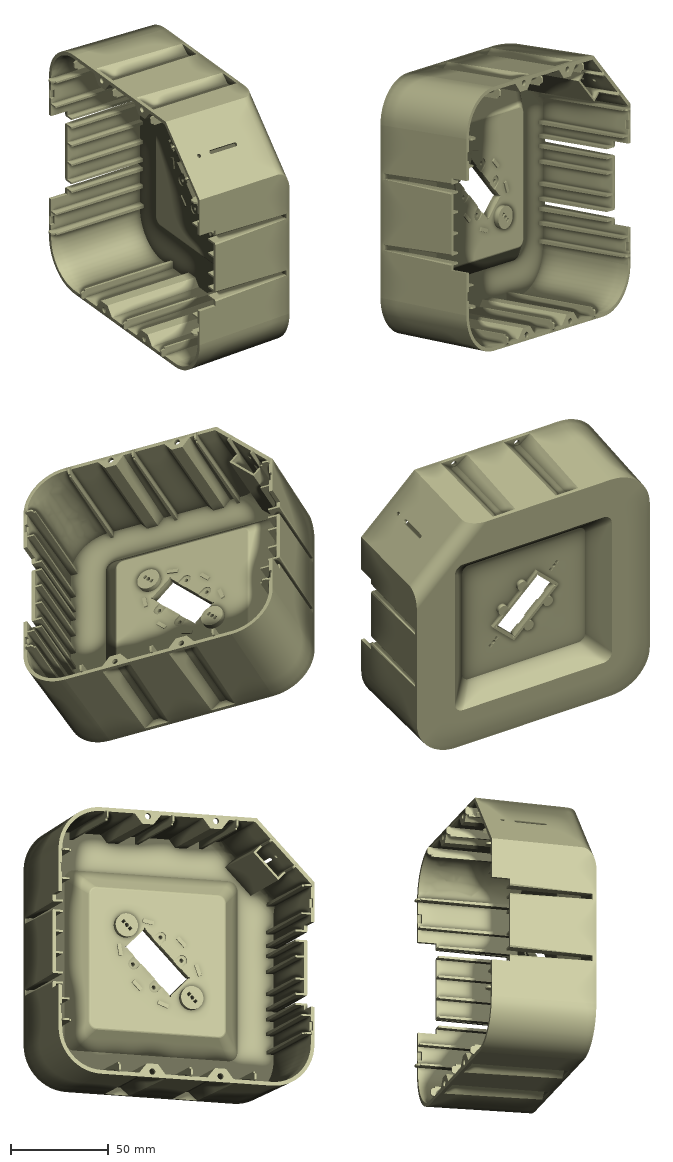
import cadquery as cq
import math

SIZE = 138.82
HALF = SIZE / 2
DEPTH = 55.86
WALL = 2.0
DRAFT = 1.0
CORNER_RADIUS = 23.0
CHAMFER_LEG = 31.3
CHAMFER_BACK_RADIUS = 7.6
FLOOR_Y = DEPTH - WALL
ROOT = 1.5
CORNER_CUT = HALF - CHAMFER_LEG / 2
DIAGONAL = math.sqrt(0.5)
QUARTER = 90
EIGHTH = QUARTER / 2
OVERLAP = WALL / 2
CLEARANCE = 1.0

PLATEAU_BASE = 93.8
PLATEAU_HEIGHT = 10.0
PLATEAU_TOP = PLATEAU_BASE - 2 * PLATEAU_HEIGHT
PLATEAU_BASE_RADIUS = 5.0
PLATEAU_TOP_RADIUS = 4.0
PLATEAU_Y = FLOOR_Y - PLATEAU_HEIGHT
PLATEAU_TOP_ROUNDING = 1.2
RECESS_INSET = WALL * (math.sqrt(2) - 1)

TOP_GROOVE_X = (-20.9, 16.05)
BOTTOM_GROOVE_X = (-18.5, 18.45)
GROOVE_DEPTH = 5.0
GROOVE_MOUTH = 15.5
GROOVE_FLOOR = 3.5
GROOVE_END_WALL = 2.0
RIDGE_DEPTH = 7.1
RIDGE_MOUTH = 17.4
RIDGE_FLOOR = 6.0
RIM_HOLE_DIAMETER = 3.2
RIM_HOLE_DEPTH = 3.0

RIB_TIP = 0.9
RIB_FOOT = 1.8
LEFT_RIB_REACH = 5.9
RIGHT_RIB_REACH = 6.9
TAB_RIB_REACH = 6.8
TAB_LENGTH = 2.0
TAB_START = 1.7
TAB_WIDTH = 4.1
TAB_CHAMFER = 0.8
TAB_THICKNESS = 1.0
TOP_RIB_X = (-43.4, -7.8, 27.0)
BOTTOM_RIB_X = (-36.8, 2.2, 36.8)
LEFT_TAB_RIB_Z = (46.0, -42.6)
LEFT_RIB_Z = (31.2, 5.6, -5.6, -31.4)
RIGHT_TAB_RIB_Z = (36.0, -41.0)
RIGHT_RIB_Z = (21.6, 1.0, -10.6, -31.4)
CORNER_RIB_SPACING = 18.0
CORNER_RIB_REACH = 9.4
CORNER_STEP_Y = 11.3
CORNER_PLATE = 1.1
CORNER_TAB_LENGTH = 1.4
CORNER_TAB_WIDTH = 2.2

SLOT_BACK_WIDTH = 2.9
SLOT_RIM_WIDTH = 4.4
SLOT_FLARE = 1.8
SLOT_FLARE_DEPTH = 1.0
SLOT_RIB_OFFSET = SLOT_RIM_WIDTH / 2 + RIB_TIP / 2
LEFT_SLOT_Z = (18.7, -18.7)
RIGHT_SLOT_Z = (11.8, -21.2)
CUTOUT_MARGIN = 5.6
CUTOUT_DEPTH = 9.8
CATCH_WIDTH = 4.8
CATCH_DEPTH = 2.0
CATCH_START = 0.7
LEFT_CATCH_Z = (36.8, -36.8)
RIGHT_CATCH_Z = (27.2, -36.8)

CORNER_SLOT_LENGTH = 17.0
CORNER_SLOT_Y = 25.1
CORNER_HOLE_DIAMETER = 2.17
CORNER_HOLE_Y = 10.2

WINDOW_LENGTH = 34.0
WINDOW_WIDTH = 14.4
WINDOW_RELIEF = 0.9
STUD_ALONG = 8.0
STUD_ACROSS = 10.6
PAD_DIAMETER = 5.6
PAD_DEPTH = 0.7
SCREW_HOLE_DIAMETER = 2.17
SCREW_HOLE_TIP = 1.1
SCREW_HOLE_DEPTH = 2.4
FRAME_HEIGHT = 2.3
FRAME_WIDTH = 1.5
ROUND_BOSS_DIAMETER = 12.1
ROUND_BOSS_HEIGHT = 3.0
ROUND_BOSS_DISTANCE = 25.1
BOSS_HOLE_DIAMETER = 2.17
BOSS_SLOT_OFFSET = 2.5
BOSS_SLOT_LENGTH = 1.6
BOSS_SLOT_WIDTH = 2.0
BLOCK_LENGTH = 6.0
BLOCK_WIDTH = 2.0
BLOCK_HEIGHT = 0.8
BLOCKS = ((-5.2, 20.6, -10), (12.8, 11.3, -45), (21.8, -2.8, -70))


def section(y):
    """Sketch plane across the housing at depth y (local x = X, local y = Z)."""
    return cq.Workplane("XZ", origin=(0, y, 0))


def slab(x0, x1, y0, y1, z0, z1):
    return cq.Workplane("XY").box(x1 - x0, y1 - y0, z1 - z0, centered=False).translate((x0, y0, z0))


def outline(y, inset, radius):
    """Rounded square with one corner cut off, moved in by `inset` from the outer rim."""
    h = HALF - inset
    cut = h - CHAMFER_LEG + inset * (2 - math.sqrt(2))
    bow = radius * (1 - DIAGONAL)
    return (
        section(y)
        .moveTo(-h + radius, h)
        .lineTo(cut, h)
        .lineTo(h, cut)
        .lineTo(h, -h + radius)
        .threePointArc((h - bow, -h + bow), (h - radius, -h))
        .lineTo(-h + radius, -h)
        .threePointArc((-h + bow, -h + bow), (-h, -h + radius))
        .lineTo(-h, h - radius)
        .threePointArc((-h + bow, h - bow), (-h + radius, h))
        .close()
        .val()
    )


def drafted_body(inset, back_y):
    """Tapered block with the edge between corner cut and back rounded."""
    radius = CORNER_RADIUS - inset
    back_inset = inset + DRAFT * back_y / DEPTH
    wires = [outline(0, inset, radius), outline(back_y, back_inset, radius)]
    body = cq.Workplane(cq.Solid.makeLoft(wires, True))
    edge = cq.selectors.NearestToPointSelector((CORNER_CUT, back_y, CORNER_CUT))
    return body.edges(edge).fillet(CHAMFER_BACK_RADIUS - inset)


def square_frustum(base_y, base, top_y, top):
    """Rounded square that narrows from base_y to top_y."""
    return (
        section(base_y)
        .placeSketch(
            cq.Sketch().rect(base, base).vertices().fillet(PLATEAU_BASE_RADIUS),
            cq.Sketch().rect(top, top).vertices().fillet(PLATEAU_TOP_RADIUS)
            .moved(cq.Location(cq.Vector(0, 0, base_y - top_y))),
        )
        .loft(ruled=True)
    )


def trapezoid(x, mouth, depth, floor, start, y0, y1):
    """Prism along Y cut into the top wall: `mouth` wide at the rim line, `floor` wide at `depth`."""
    slope = (mouth - floor) / 2 / depth
    half_start = mouth / 2 - slope * start
    return (
        section(y0)
        .polyline([
            (x - half_start, HALF - start),
            (x + half_start, HALF - start),
            (x + floor / 2, HALF - depth),
            (x - floor / 2, HALF - depth),
        ])
        .close()
        .extrude(y0 - y1)
    )


def on_wall(shape, side):
    """Turn a shape made at the top wall round to the named wall."""
    turns = {"top": 0, "right": QUARTER, "bottom": 2 * QUARTER, "left": 3 * QUARTER}
    return shape.rotate((0, 0, 0), (0, 1, 0), turns[side])


def along(side, value):
    """Position along the top wall that lands on X or Z `value` at the named wall."""
    return value if side in ("top", "left") else -value


def tapered_slab(x, y0, width0, y1, width1, z0, z1):
    """Block centred on x whose width along X changes from width0 at y0 to width1 at y1."""
    return (
        cq.Workplane("XY", origin=(x, 0, z0))
        .polyline([(-width0 / 2, y0), (width0 / 2, y0), (width1 / 2, y1), (-width1 / 2, y1)])
        .close()
        .extrude(z1 - z0)
    )


def rib(x, reach):
    return tapered_slab(x, 0, RIB_TIP, FLOOR_Y + OVERLAP, RIB_FOOT, HALF - reach, HALF - ROOT)


def tab(x, start, width, length):
    half = TAB_THICKNESS / 2
    top = HALF - start
    box = slab(x - half, x + half, -length, WALL, top - width, top)
    return box.faces("<Y").edges("|X").chamfer(min(TAB_CHAMFER, width / 4))


def corner_frame(shape):
    """Move a shape from the middle of the top wall to the middle of the corner cut."""
    distance = CORNER_CUT * math.sqrt(2)
    return shape.translate((0, 0, distance - HALF)).rotate((0, 0, 0), (0, 1, 0), EIGHTH)


def add_grooves(body, side, positions):
    for value in positions:
        x = along(side, value)
        ridge = trapezoid(x, RIDGE_MOUTH, RIDGE_DEPTH, RIDGE_FLOOR, ROOT, 0, FLOOR_Y + OVERLAP)
        groove = trapezoid(
            x, GROOVE_MOUTH, GROOVE_DEPTH, GROOVE_FLOOR, -CLEARANCE,
            GROOVE_END_WALL, DEPTH - GROOVE_END_WALL,
        )
        hole = section(0).center(x, HALF - RIM_HOLE_DEPTH).circle(RIM_HOLE_DIAMETER / 2)
        hole = hole.extrude(-2 * GROOVE_END_WALL)
        body = body.union(on_wall(ridge, side)).cut(on_wall(groove, side)).cut(on_wall(hole, side))
    return body


def add_ribs(body, outer, side, with_tabs, plain=(), plain_reach=0):
    """Ribs on one wall, kept inside the outer shape; those in `with_tabs` carry a tab past the rim."""
    for value in plain:
        body = body.union(on_wall(rib(along(side, value), plain_reach), side).intersect(outer))
    for value in with_tabs:
        x = along(side, value)
        body = body.union(on_wall(rib(x, TAB_RIB_REACH), side).intersect(outer))
        body = body.union(on_wall(tab(x, TAB_START, TAB_WIDTH, TAB_LENGTH), side))
    return body


def cut_side_wall(body, side, slots, catches):
    """Long slots with flared mouths, the rim cut-out spanning them and the catch pockets."""
    for value in slots:
        x = along(side, value)
        slot = tapered_slab(
            x, 0, SLOT_RIM_WIDTH, FLOOR_Y, SLOT_BACK_WIDTH, HALF - RIGHT_RIB_REACH, HALF + CLEARANCE
        )
        flare = trapezoid(
            x, SLOT_BACK_WIDTH + 2 * SLOT_FLARE, SLOT_FLARE_DEPTH, SLOT_BACK_WIDTH, -CLEARANCE, 0, FLOOR_Y
        )
        body = body.cut(on_wall(slot, side)).cut(on_wall(flare, side))
    ends = sorted(along(side, value) for value in slots)
    cutout = slab(
        ends[0] - CUTOUT_MARGIN, ends[1] + CUTOUT_MARGIN, -CLEARANCE, CUTOUT_DEPTH,
        HALF - 2 * RIGHT_RIB_REACH, HALF + CLEARANCE
    )
    body = body.cut(on_wall(cutout, side))
    for value in catches:
        x = along(side, value)
        half = CATCH_WIDTH / 2
        pocket = slab(
            x - half, x + half, -CLEARANCE, CATCH_DEPTH, HALF - WALL - CLEARANCE, HALF - CATCH_START
        )
        body = body.cut(on_wall(pocket, side))
    return body


def finish_corner(body, outer):
    """Stepped ribs joined by a plate behind the corner cut, and the slot and hole through it."""
    behind_step = slab(-HALF, HALF, CORNER_STEP_Y, DEPTH, 0, HALF)
    for x in (-CORNER_RIB_SPACING / 2, CORNER_RIB_SPACING / 2):
        low = rib(x, TAB_START + CORNER_TAB_WIDTH)
        high = rib(x, CORNER_RIB_REACH).intersect(behind_step)
        inside = corner_frame(low.union(high)).intersect(outer)
        peg = corner_frame(tab(x, TAB_START, CORNER_TAB_WIDTH, CORNER_TAB_LENGTH))
        body = body.union(inside).union(peg)
    half = CORNER_RIB_SPACING / 2
    plate_z = HALF - CORNER_RIB_REACH
    plate = slab(-half, half, CORNER_STEP_Y, FLOOR_Y + OVERLAP, plate_z, plate_z + CORNER_PLATE)
    body = body.union(corner_frame(plate))
    wall = cq.Workplane("XY", origin=(0, 0, HALF - 2 * WALL))
    slot = wall.center(0, CORNER_SLOT_Y).slot2D(CORNER_SLOT_LENGTH, CORNER_HOLE_DIAMETER, QUARTER)
    slot = slot.extrude(3 * WALL)
    hole = wall.center(0, CORNER_HOLE_Y).circle(CORNER_HOLE_DIAMETER / 2).extrude(3 * WALL)
    return body.cut(corner_frame(slot)).cut(corner_frame(hole))


def turned(shape):
    """Turn a shape made along X into the direction of the window."""
    return shape.rotate((0, 0, 0), (0, 1, 0), EIGHTH)


def prism(sketch, y0, y1):
    return turned(sketch(section(y0)).extrude(y0 - y1))


def on_plateau(rise, sketch):
    return prism(sketch, PLATEAU_Y - rise, PLATEAU_Y + OVERLAP)


def sunk_in_plateau(depth, sketch):
    return prism(sketch, PLATEAU_Y - WALL, PLATEAU_Y + depth)


def behind_plateau(sketch):
    return prism(sketch, PLATEAU_Y + OVERLAP, PLATEAU_Y + WALL + FRAME_HEIGHT)


def through_plateau(sketch):
    return prism(sketch, PLATEAU_Y - 2 * ROUND_BOSS_HEIGHT, DEPTH)


def screw_hole(x, z):
    """Tapered blind hole sunk from the floor of a keyhole recess."""
    hole = cq.Solid.makeCone(
        SCREW_HOLE_DIAMETER / 2, SCREW_HOLE_TIP / 2, SCREW_HOLE_DEPTH,
        cq.Vector(x, PLATEAU_Y + PAD_DEPTH, z), cq.Vector(0, 1, 0),
    )
    return cq.Workplane(hole)


def block(x, z, angle):
    top = PLATEAU_Y - BLOCK_HEIGHT
    shape = section(top).rect(BLOCK_LENGTH, BLOCK_WIDTH).extrude(top - PLATEAU_Y - OVERLAP)
    return shape.rotate((0, 0, 0), (0, 1, 0), -angle).translate((x, 0, z))


def add_plateau_details(body):
    bosses = [(-ROUND_BOSS_DISTANCE, 0), (ROUND_BOSS_DISTANCE, 0)]
    studs = [(sx * STUD_ALONG, sz * STUD_ACROSS) for sx in (-1, 1) for sz in (-1, 1)]
    necks = [(sx * STUD_ALONG, sz * STUD_ACROSS * 3 / 4) for sx in (-1, 1) for sz in (-1, 1)]
    corners = [(sx * WINDOW_LENGTH / 2, sz * WINDOW_WIDTH / 2) for sx in (-1, 1) for sz in (-1, 1)]
    boss_slots = [(x + dx, 0) for x, _ in bosses for dx in (-BOSS_SLOT_OFFSET, BOSS_SLOT_OFFSET)]

    body = body.union(on_plateau(
        ROUND_BOSS_HEIGHT, lambda s: s.pushPoints(bosses).circle(ROUND_BOSS_DIAMETER / 2)))
    body = body.union(behind_plateau(
        lambda s: s.rect(WINDOW_LENGTH + 2 * FRAME_WIDTH, WINDOW_WIDTH + 2 * FRAME_WIDTH)))
    body = body.union(behind_plateau(lambda s: s.pushPoints(studs).circle(PAD_DIAMETER / 2)))

    body = body.cut(sunk_in_plateau(PAD_DEPTH, lambda s: s.pushPoints(studs).circle(PAD_DIAMETER / 2)))
    body = body.cut(sunk_in_plateau(
        PAD_DEPTH, lambda s: s.pushPoints(necks).rect(PAD_DIAMETER, STUD_ACROSS / 2)))
    for x, z in studs:
        body = body.cut(turned(screw_hole(x, z)))

    for x, z, angle in BLOCKS:
        for px, pz, turn in ((x, z, angle), (-z, -x, -QUARTER - angle)):
            body = body.union(block(px, pz, turn))

    body = body.cut(through_plateau(lambda s: s.rect(WINDOW_LENGTH, WINDOW_WIDTH)))
    body = body.cut(through_plateau(lambda s: s.pushPoints(corners).circle(WINDOW_RELIEF / 2)))
    body = body.cut(through_plateau(lambda s: s.pushPoints(bosses).circle(BOSS_HOLE_DIAMETER / 2)))
    return body.cut(through_plateau(
        lambda s: s.pushPoints(boss_slots).rect(BOSS_SLOT_LENGTH, BOSS_SLOT_WIDTH)))


outer = drafted_body(0, DEPTH)
shell = outer.cut(drafted_body(WALL, FLOOR_Y))
plateau = square_frustum(FLOOR_Y, PLATEAU_BASE, PLATEAU_Y, PLATEAU_TOP)
recess = square_frustum(
    DEPTH, PLATEAU_BASE - 2 * RECESS_INSET, PLATEAU_Y + WALL, PLATEAU_TOP - 2 * RECESS_INSET
)
housing = shell.union(plateau)
plateau_rim = cq.selectors.BoxSelector(
    (-PLATEAU_TOP, PLATEAU_Y - CLEARANCE, -PLATEAU_TOP),
    (PLATEAU_TOP, PLATEAU_Y + CLEARANCE, PLATEAU_TOP),
)
housing = housing.edges(plateau_rim).fillet(PLATEAU_TOP_ROUNDING)
housing = housing.cut(recess)

housing = add_ribs(housing, outer, "top", TOP_RIB_X)
housing = add_ribs(housing, outer, "bottom", BOTTOM_RIB_X)
left_slot_ribs = tuple(z + s * SLOT_RIB_OFFSET for z in LEFT_SLOT_Z for s in (-1, 1))
right_slot_ribs = tuple(z + s * SLOT_RIB_OFFSET for z in RIGHT_SLOT_Z for s in (-1, 1))
housing = add_ribs(housing, outer, "left", LEFT_TAB_RIB_Z, LEFT_RIB_Z + left_slot_ribs, LEFT_RIB_REACH)
housing = add_ribs(housing, outer, "right", RIGHT_TAB_RIB_Z, RIGHT_RIB_Z + right_slot_ribs, RIGHT_RIB_REACH)
housing = add_grooves(housing, "top", TOP_GROOVE_X)
housing = add_grooves(housing, "bottom", BOTTOM_GROOVE_X)
housing = cut_side_wall(housing, "left", LEFT_SLOT_Z, LEFT_CATCH_Z)
housing = cut_side_wall(housing, "right", RIGHT_SLOT_Z, RIGHT_CATCH_Z)
housing = finish_corner(housing, outer)
result = add_plateau_details(housing)